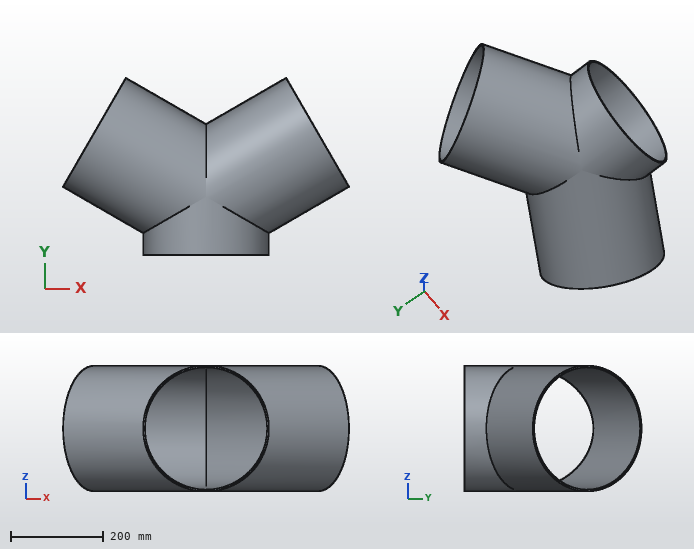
import cadquery as cq
import math

overall_width = 620.5
outer_diameter = 273.0
inner_diameter = 265.0
stem_length = 126.5
arm_angle = 30.0

outer_radius = outer_diameter / 2
arm_slope = math.radians(arm_angle)
arm_length = (overall_width / 2 - outer_radius * math.sin(arm_slope)) / math.cos(arm_slope)

branches = [
    (arm_angle, arm_length),
    (180 - arm_angle, arm_length),
    (-90, stem_length),
]


def branch_cylinder(diameter, direction, length):
    """Cylinder running from the junction out along one branch."""
    return cq.Workplane("YZ").circle(diameter / 2).extrude(length).rotate((0, 0, 0), (0, 0, 1), direction)


def joined_branches(diameter):
    """Three cylinders of one diameter merged at the junction."""
    body = cq.Workplane("XY")
    for direction, length in branches:
        body = body.union(branch_cylinder(diameter, direction, length))
    return body


result = joined_branches(outer_diameter).cut(joined_branches(inner_diameter))